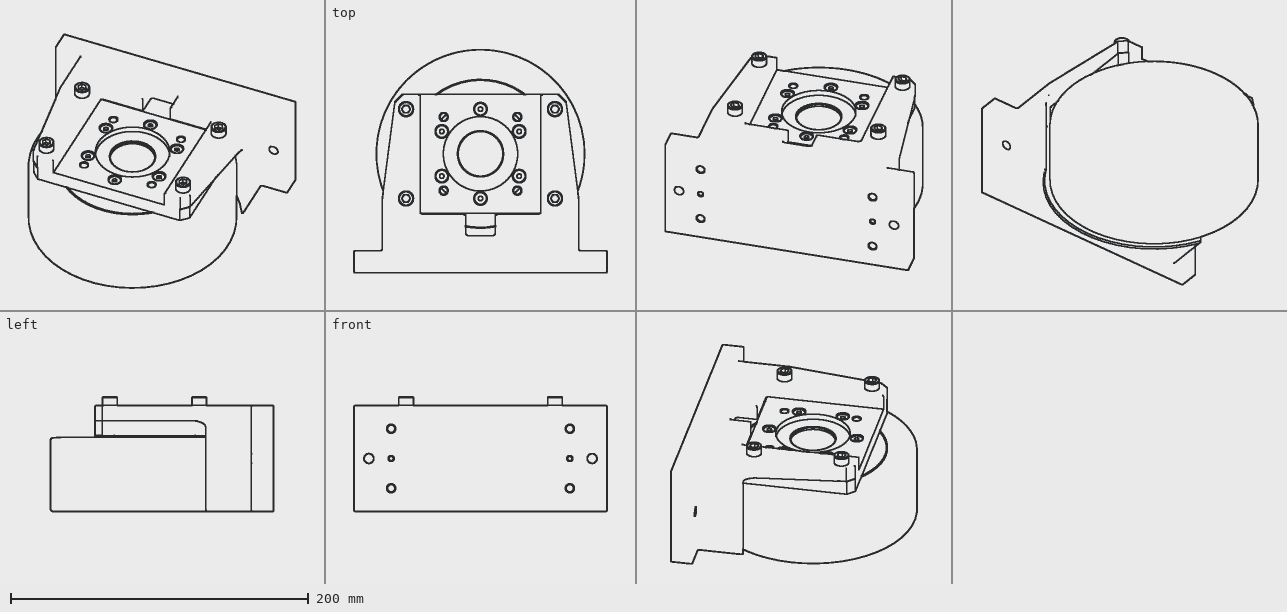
import cadquery as cq
import math


OVERALL_HEIGHT = 77.0
DISC_HEIGHT = 50.0
BOSS_HEIGHT = 1.0
PLATE_THICKNESS = 10.0
ARM_THICKNESS = 10.3
PLATE_BOTTOM = DISC_HEIGHT + BOSS_HEIGHT
PLATE_TOP = PLATE_BOTTOM + PLATE_THICKNESS
BRACKET_TOP = PLATE_TOP + ARM_THICKNESS

DISC_RADIUS = 70.0
DISC_FILLET = 2.0
DISC_FLAT_RADIUS = 62.0
DISC_CONE_DROP = 0.5
DISC_GROOVE_RADIUS = 50.0
DISC_GROOVE_WIDTH = 0.6
DISC_GROOVE_DEPTH = 0.5
BOSS_RADIUS = 35.0

FLANGE_LENGTH = 170.0
FLANGE_THICKNESS = 15.0
FLANGE_FACE_Y = -80.0
FLANGE_BACK_Y = FLANGE_FACE_Y + FLANGE_THICKNESS
COLUMN_HALF_WIDTH = 66.0
TAPER_START_Y = -30.0
ARM_END_Y = 40.0
ARM_END_HALF_WIDTH = 57.5
CORNER_CUT = 5.0
EDGE_FILLET = 1.0
CLEARANCE_RADIUS = 73.5
CLEARANCE_FILLET = 4.0
CLEARANCE_RIM_FILLET = 0.6

WINDOW_HALF_WIDTH = 40.5
WINDOW_FRONT_Y = -40.5
NOTCH_HALF_WIDTH = 10.0
NOTCH_FRONT_Y = -55.0
POCKET_CORNER_RADIUS = 2.0

PLATE_HALF_WIDTH = 57.0
PLATE_HALF_DEPTH = 40.0
BORE_RADIUS = 25.0
BORE_DEPTH = 4.0
CENTRE_RADIUS = 15.0
CENTRE_DEPTH = 2.0
CENTRE_CHAMFER = 0.5
PLATE_SCREW_CIRCLE = 30.0
PLATE_SCREW_COUNT = 6
PLATE_SCREW_SEAT_DIAMETER = 8.0
PLATE_SCREW_SEAT_DEPTH = 0.8
PLATE_SCREW_SOCKET_DIAMETER = 3.0
PLATE_SCREW_SOCKET_DEPTH = 2.5
PLATE_TAP_CIRCLE = 35.0
PLATE_TAP_COUNT = 4

TAP_DIAMETER = 4.97
TAP_DEPTH = 12.0
PIN_DIAMETER = 3.0
PIN_DEPTH = 6.0
THROUGH_DIAMETER = 6.4
HOLE_CHAMFER = 0.5
DRILL_HALF_ANGLE = math.radians(59)
FLANGE_TAP_X = 60.0
FLANGE_TAP_SPACING = 40.0
FLANGE_THROUGH_X = 75.0
FLANGE_HOLE_Z = BRACKET_TOP / 2

SCREW_HEAD_DIAMETER = 10.0
SCREW_HEAD_HEIGHT = OVERALL_HEIGHT - BRACKET_TOP
SCREW_HEAD_CHAMFER = 0.5
SCREW_SOCKET_SIDES = 6
SCREW_SOCKET_WIDTH = 5.0
SCREW_SOCKET_DEPTH = 3.0
SCREW_X = 50.0
SCREW_ROWS_Y = (-30.0, 30.0)


def cylinder(radius, bottom, top):
    return cq.Workplane("XY", origin=(0, 0, bottom)).circle(radius).extrude(top - bottom)


def block(half_width, y_start, y_end, bottom, top):
    return (
        cq.Workplane("XY", origin=(0, (y_start + y_end) / 2, bottom))
        .rect(2 * half_width, y_end - y_start)
        .extrude(top - bottom)
    )


def drill(diameter, depth, chamfer, pointed):
    """Cutter whose mouth is at the origin, running down -Z, with an optional drill point."""
    radius = diameter / 2
    profile = [(0, 0), (radius + chamfer, 0)]
    if chamfer:
        profile.append((radius, -chamfer))
    profile.append((radius, -depth))
    tip_depth = depth + radius / math.tan(DRILL_HALF_ANGLE) if pointed else depth
    profile.append((0, -tip_depth))
    return cq.Workplane("XZ").polyline(profile).close().revolve(360, (0, 0), (0, 1))


def circle_points(radius, count, start_angle):
    angles = [math.radians(start_angle + i * 360 / count) for i in range(count)]
    return [(radius * math.cos(a), radius * math.sin(a)) for a in angles]


def make_disc():
    rim_z = DISC_HEIGHT - DISC_CONE_DROP
    profile = [
        (0, 0),
        (DISC_RADIUS, 0),
        (DISC_RADIUS, rim_z),
        (DISC_FLAT_RADIUS, DISC_HEIGHT),
        (0, DISC_HEIGHT),
    ]
    disc = cq.Workplane("XZ").polyline(profile).close().revolve(360, (0, 0), (0, 1))
    outer_rims = cq.selectors.RadiusNthSelector(-1)
    disc = disc.edges("%CIRCLE").edges(outer_rims).fillet(DISC_FILLET)
    groove_floor = DISC_HEIGHT - DISC_GROOVE_DEPTH
    groove = cylinder(DISC_GROOVE_RADIUS, groove_floor, DISC_HEIGHT).cut(
        cylinder(DISC_GROOVE_RADIUS - DISC_GROOVE_WIDTH, groove_floor, DISC_HEIGHT)
    )
    return disc.cut(groove).union(cylinder(BOSS_RADIUS, DISC_HEIGHT, PLATE_BOTTOM))


def bracket_blank():
    right_side = [
        (FLANGE_LENGTH / 2, FLANGE_FACE_Y),
        (FLANGE_LENGTH / 2, FLANGE_BACK_Y),
        (COLUMN_HALF_WIDTH, FLANGE_BACK_Y),
        (COLUMN_HALF_WIDTH, TAPER_START_Y),
        (ARM_END_HALF_WIDTH, ARM_END_Y - CORNER_CUT),
        (ARM_END_HALF_WIDTH - CORNER_CUT, ARM_END_Y),
    ]
    left_side = [(-x, y) for x, y in reversed(right_side)]
    blank = cq.Workplane("XY").polyline(right_side + left_side).close().extrude(BRACKET_TOP)
    flange_zone = cq.selectors.BoxSelector(
        (-FLANGE_LENGTH, FLANGE_FACE_Y - EDGE_FILLET, 0),
        (FLANGE_LENGTH, FLANGE_BACK_Y + EDGE_FILLET, BRACKET_TOP),
    )
    return blank.edges("|Z").edges(flange_zone).fillet(EDGE_FILLET)


def make_bracket():
    clearance = cylinder(CLEARANCE_RADIUS, 0, PLATE_TOP).faces(">Z").edges().fillet(CLEARANCE_FILLET)
    window = block(WINDOW_HALF_WIDTH, WINDOW_FRONT_Y, 2 * ARM_END_Y, 0, BRACKET_TOP)
    notch = block(NOTCH_HALF_WIDTH, NOTCH_FRONT_Y, 0, 0, BRACKET_TOP)
    window = window.edges("|Z and <Y").fillet(POCKET_CORNER_RADIUS)
    notch = notch.edges("|Z and <Y").fillet(POCKET_CORNER_RADIUS)
    bracket = bracket_blank().cut(clearance).cut(window).cut(notch)
    for side in (-1, 1):
        clearance_rim = cq.selectors.BoxSelector(
            (side * BORE_RADIUS * 2, NOTCH_FRONT_Y, 0),
            (side * FLANGE_LENGTH / 2, ARM_END_Y - CORNER_CUT, PLATE_TOP + EDGE_FILLET),
            boundingbox=True,
        )
        bracket = bracket.edges(clearance_rim).fillet(CLEARANCE_RIM_FILLET)
    bracket = bracket.faces(">Z").edges().fillet(EDGE_FILLET)
    return bracket.faces("<Z").edges("not(%CIRCLE and >Y)").fillet(EDGE_FILLET)


def make_plate():
    plate = block(PLATE_HALF_WIDTH, -PLATE_HALF_DEPTH, PLATE_HALF_DEPTH, PLATE_BOTTOM, PLATE_TOP)
    plate = plate.edges("|Z and >Y").chamfer(CORNER_CUT)
    plate = plate.cut(cylinder(BORE_RADIUS, PLATE_TOP - BORE_DEPTH, PLATE_TOP))

    tap = drill(TAP_DIAMETER, PLATE_THICKNESS, HOLE_CHAMFER, pointed=False)
    first_tap = 180 / PLATE_TAP_COUNT
    for x, y in circle_points(PLATE_TAP_CIRCLE, PLATE_TAP_COUNT, first_tap):
        plate = plate.cut(tap.translate((x, y, PLATE_TOP)))

    seat = drill(PLATE_SCREW_SEAT_DIAMETER, PLATE_SCREW_SEAT_DEPTH, HOLE_CHAMFER, pointed=False)
    socket = drill(PLATE_SCREW_SOCKET_DIAMETER, PLATE_SCREW_SOCKET_DEPTH, 0, pointed=False)
    first_screw = 180 / PLATE_SCREW_COUNT
    for x, y in circle_points(PLATE_SCREW_CIRCLE, PLATE_SCREW_COUNT, first_screw):
        plate = plate.cut(seat.union(socket).translate((x, y, PLATE_TOP)))
    return plate


def centre_recess():
    recess = drill(2 * CENTRE_RADIUS, CENTRE_DEPTH, CENTRE_CHAMFER, pointed=False)
    return recess.translate((0, 0, PLATE_TOP - BORE_DEPTH))


def cut_flange_holes(bracket):
    """Drill the mounting face of the flange along +Y."""
    tap = drill(TAP_DIAMETER, TAP_DEPTH, HOLE_CHAMFER, pointed=True)
    pin = drill(PIN_DIAMETER, PIN_DEPTH, HOLE_CHAMFER, pointed=True)
    through = drill(THROUGH_DIAMETER, FLANGE_THICKNESS, 0, pointed=False)
    for side in (-1, 1):
        layout = [
            (tap, FLANGE_TAP_X, FLANGE_TAP_SPACING / 2),
            (tap, FLANGE_TAP_X, -FLANGE_TAP_SPACING / 2),
            (pin, FLANGE_TAP_X, 0),
            (through, FLANGE_THROUGH_X, 0),
        ]
        for cutter, x, z_offset in layout:
            lying = cutter.rotate((0, 0, 0), (1, 0, 0), 90)
            mouth = (side * x, FLANGE_FACE_Y, FLANGE_HOLE_Z + z_offset)
            bracket = bracket.cut(lying.translate(mouth))
    return bracket


def cap_screw():
    """Cap screw head standing on the origin."""
    head = cylinder(SCREW_HEAD_DIAMETER / 2, 0, SCREW_HEAD_HEIGHT)
    head = head.faces(">Z").edges().chamfer(SCREW_HEAD_CHAMFER)
    socket_diameter = SCREW_SOCKET_WIDTH / math.cos(math.pi / SCREW_SOCKET_SIDES)
    socket = (
        cq.Workplane("XY", origin=(0, 0, SCREW_HEAD_HEIGHT - SCREW_SOCKET_DEPTH))
        .polygon(SCREW_SOCKET_SIDES, socket_diameter)
        .extrude(SCREW_SOCKET_DEPTH)
    )
    cone = drill(SCREW_SOCKET_WIDTH, SCREW_SOCKET_DEPTH, 0, pointed=True)
    return head.cut(socket).cut(cone.translate((0, 0, SCREW_HEAD_HEIGHT)))


bracket = cut_flange_holes(make_bracket())

result = bracket.union(make_plate()).union(make_disc()).cut(centre_recess())
for x in (-SCREW_X, SCREW_X):
    for y in SCREW_ROWS_Y:
        result = result.union(cap_screw().translate((x, y, BRACKET_TOP)))